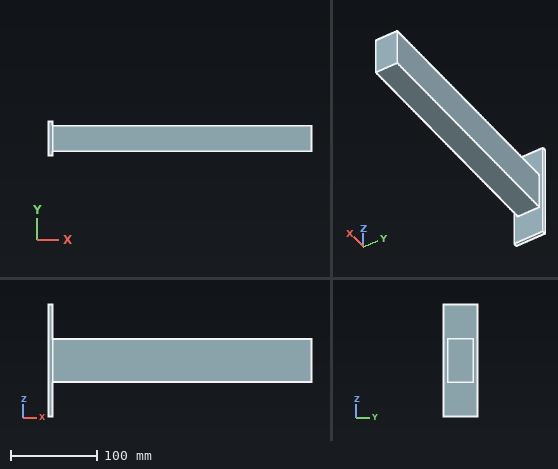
import cadquery as cq

total_length = 305.0

plate_thickness = 5.0
plate_width = 40.0
plate_height = 130.0

beam_length = total_length - plate_thickness
beam_width = 30.0
beam_height = 50.0


def make_end_plate():
    """Flat plate with its outer face at X = 0, centred on the X axis."""
    return cq.Workplane("XY").box(
        plate_thickness, plate_width, plate_height, centered=(False, True, True)
    )


def make_beam():
    """Solid bar running along +X from the inner face of the plate."""
    bar = cq.Workplane("XY").box(
        beam_length, beam_width, beam_height, centered=(False, True, True)
    )
    return bar.translate((plate_thickness, 0, 0))


end_plate = make_end_plate()
beam = make_beam()

result = cq.Compound.makeCompound([end_plate.val(), beam.val()])